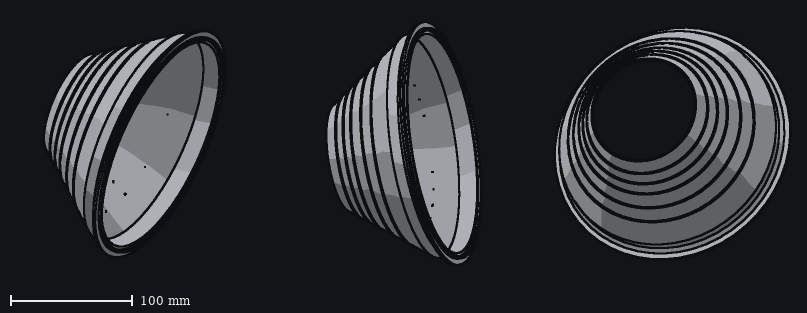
import cadquery as cq
import math

length = 87.05
flange_radius = 101.0
small_end_radius = 44.9
body_radius = 93.0
wall = 1.9
cone_angle = math.radians(34.9)

ridge_start = 78.2
ridge_end = 81.6
ridge_radius = 96.4

flange_start = 82.8
flange_end = 85.0
spigot_radius = 95.8

groove_positions = [10.3, 18.8, 27.3, 38.8, 50.3]
groove_width = 0.8
groove_depth = 0.8

slope = math.tan(cone_angle)
cone_end = (body_radius - small_end_radius) / slope
bore_radius = body_radius - wall
spigot_bore_radius = spigot_radius - wall
inner_edge_x = wall * math.sin(cone_angle)
inner_edge_radius = small_end_radius - wall * math.cos(cone_angle)
bore_start = inner_edge_x + (bore_radius - inner_edge_radius) / slope


def revolve_about_x(points):
    """Revolve a closed (x, radius) outline a full turn about the X axis."""
    outline = cq.Workplane("XZ").polyline(points).close()
    return outline.revolve(360, (0, 0, 0), (1, 0, 0))


def make_shell():
    return revolve_about_x([
        (0, small_end_radius),
        (cone_end, body_radius),
        (ridge_start, body_radius),
        (ridge_end, ridge_radius),
        (ridge_end, body_radius),
        (flange_start, body_radius),
        (flange_start, flange_radius),
        (flange_end, flange_radius),
        (flange_end, spigot_radius),
        (length, spigot_radius),
        (length, spigot_bore_radius),
        (flange_end, spigot_bore_radius),
        (flange_end, bore_radius),
        (bore_start, bore_radius),
        (inner_edge_x, inner_edge_radius),
    ])


def make_groove(center_x):
    """Ring with a rectangular section set square to the cone wall, centred on its surface."""
    center_radius = small_end_radius + center_x * slope
    along = (math.cos(cone_angle), math.sin(cone_angle))
    outward = (-math.sin(cone_angle), math.cos(cone_angle))
    corners = []
    for side, height in [(-1, -1), (1, -1), (1, 1), (-1, 1)]:
        shift = side * groove_width / 2
        rise = height * groove_depth
        corners.append((
            center_x + shift * along[0] + rise * outward[0],
            center_radius + shift * along[1] + rise * outward[1],
        ))
    return revolve_about_x(corners)


result = make_shell()
for groove_x in groove_positions:
    result = result.cut(make_groove(groove_x))